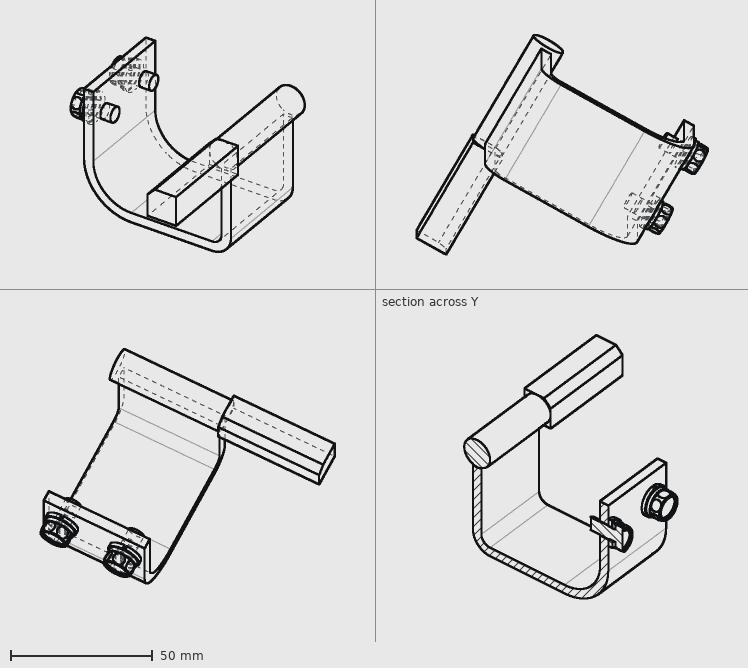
import cadquery as cq
import math

strip_thickness = 4.0
strip_width = 40.0
height = 49.0
left_outer_radius = 20.0
right_outer_radius = 8.0

rod_diameter = 12.0
rod_axis_x = 59.97
rod_overhang = 1.5
block_length = 40.0
block_chamfer = 3.1

bolt_spacing = 25.0
bolt_drop = 12.0
shank_diameter = 6.0
shank_protrusion = 4.2
head_thickness = 4.0
head_across_flats = 10.05
head_sphere_radius = 5.5
head_recess_diameter = 8.4
head_recess_depth = 0.7
plain_washer_diameter = 11.1
plain_washer_thickness = 1.6
spring_washer_diameter = 12.3
spring_washer_thickness = 1.6
spring_washer_gap = 0.9

rod_radius = rod_diameter / 2
rod_axis_z = height - rod_radius
right_outer_x = rod_axis_x + strip_thickness / 2
right_inner_x = right_outer_x - strip_thickness
block_back_y = -rod_overhang
rod_back_y = strip_width + rod_overhang
bolt_z = height - bolt_drop
plain_washer_x = -spring_washer_thickness - plain_washer_thickness
head_inner_x = plain_washer_x
head_outer_x = head_inner_x - head_thickness

bolt_places = [
    (strip_width / 2 - bolt_spacing / 2, 0),
    (strip_width / 2 + bolt_spacing / 2, 30),
]


def x_cylinder(diameter, start_x, length, y):
    """Cylinder along +X on the bolt line."""
    return cq.Workplane("YZ", origin=(start_x, y, bolt_z)).circle(diameter / 2).extrude(length)


def y_rod():
    """Round rod along Y, from the block to beyond the back edge of the bracket."""
    length = rod_back_y - block_back_y
    start = (rod_axis_x, rod_back_y, rod_axis_z)
    return cq.Workplane("XZ", origin=start).circle(rod_radius).extrude(length)


def make_bracket():
    """Bent strip with two bolt holes; its right leg ends against the rod."""
    left_inner_radius = left_outer_radius - strip_thickness
    right_inner_radius = right_outer_radius - strip_thickness
    bracket = (
        cq.Workplane("XZ")
        .moveTo(0, height)
        .lineTo(0, left_outer_radius)
        .radiusArc((left_outer_radius, 0), -left_outer_radius)
        .lineTo(right_outer_x - right_outer_radius, 0)
        .radiusArc((right_outer_x, right_outer_radius), -right_outer_radius)
        .lineTo(right_outer_x, rod_axis_z)
        .lineTo(right_inner_x, rod_axis_z)
        .lineTo(right_inner_x, right_outer_radius)
        .radiusArc((right_inner_x - right_inner_radius, strip_thickness), right_inner_radius)
        .lineTo(left_outer_radius, strip_thickness)
        .radiusArc((strip_thickness, left_outer_radius), left_inner_radius)
        .lineTo(strip_thickness, height)
        .close()
        .extrude(-strip_width)
    )
    for y, _ in bolt_places:
        bracket = bracket.cut(x_cylinder(shank_diameter, 0, strip_thickness, y))
    return bracket.cut(y_rod())


def make_hinge_leaf():
    """Rod and chamfered block, flush at the top and sides."""
    block = (
        cq.Workplane("XZ", origin=(rod_axis_x, block_back_y, rod_axis_z))
        .rect(rod_diameter, rod_diameter)
        .extrude(block_length)
        .edges("|Y and <X and >Z")
        .chamfer(block_chamfer)
    )
    return block.union(y_rod())


def make_bolt(y, head_turn):
    """Hexagon bolt whose head corners are rounded by a sphere, with a shallow recess in the end."""
    across_corners = head_across_flats / math.cos(math.radians(30))
    sphere_x = (head_outer_x + head_inner_x) / 2
    hexagon = (
        cq.Workplane("YZ", origin=(head_outer_x, y, bolt_z))
        .transformed(rotate=(0, 0, head_turn))
        .polygon(6, across_corners)
        .extrude(head_thickness)
    )
    sphere = cq.Workplane("XY", origin=(sphere_x, y, bolt_z)).sphere(head_sphere_radius)
    recess = x_cylinder(head_recess_diameter, head_outer_x, head_recess_depth, y)
    shank_length = strip_thickness + shank_protrusion - head_inner_x
    shank = x_cylinder(shank_diameter, head_inner_x, shank_length, y)
    return hexagon.intersect(sphere).cut(recess).union(shank)


def make_plain_washer(y):
    """Flat ring under the bolt head."""
    ring = x_cylinder(plain_washer_diameter, plain_washer_x, plain_washer_thickness, y)
    return ring.cut(x_cylinder(shank_diameter, plain_washer_x, plain_washer_thickness, y))


def make_spring_washer(y):
    """Ring against the bracket, split by a gap at the top."""
    start_x = -spring_washer_thickness
    ring = x_cylinder(spring_washer_diameter, start_x, spring_washer_thickness, y)
    bore = x_cylinder(shank_diameter, start_x, spring_washer_thickness, y)
    gap = cq.Workplane("XY").box(
        spring_washer_thickness,
        spring_washer_gap,
        spring_washer_diameter / 2,
        centered=(False, True, False),
    )
    return ring.cut(bore).cut(gap.translate((start_x, y, bolt_z)))


bracket = make_bracket()
hinge_leaf = make_hinge_leaf()
bodies = [bracket.val(), hinge_leaf.val()]
for bolt_y, turn in bolt_places:
    bodies.append(make_bolt(bolt_y, turn).val())
    bodies.append(make_plain_washer(bolt_y).val())
    bodies.append(make_spring_washer(bolt_y).val())

result = cq.Compound.makeCompound(bodies)